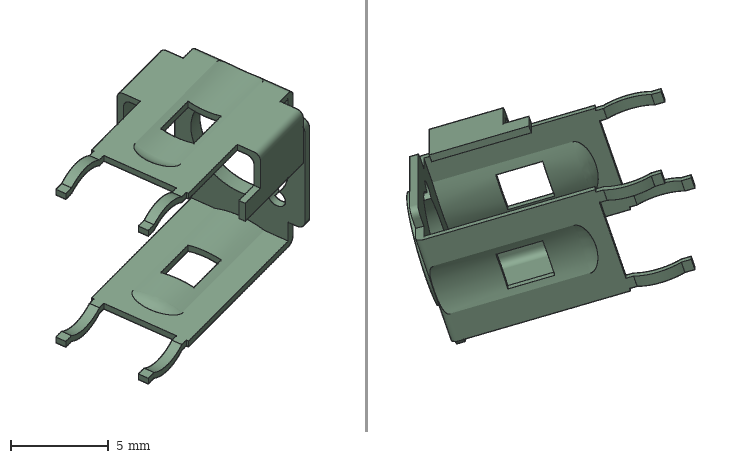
import cadquery as cq
import math

OVERALL_WIDTH = 8.79
OVERALL_DEPTH = 13.51
OVERALL_HEIGHT = 11.36
SHEET = 0.4
BAND_WIDTH = 5.95
BAND_HEIGHT = 10.56
BAND_DEPTH = 9.61
BEND_RADIUS = 0.44

PLATE_THICKNESS = 0.44
PLATE_WIDTH = OVERALL_WIDTH - 2 * SHEET
PLATE_HEIGHT = 7.2
PLATE_CORNER_RADIUS = 0.5
HOLE_DIAMETER = 6.0
COLLAR_DIAMETER = 6.47
COLLAR_HEIGHT = 0.4
NOTCH_DIAMETER = 1.06
NOTCH_OFFSET = 2.27

FINGER_WIDTH = 0.61
FINGER_SPACING = 5.06
FINGER_END = COLLAR_HEIGHT - OVERALL_DEPTH
ARCH_START = -10.02
ARCH_END = -12.58
ARCH_RISE = (OVERALL_HEIGHT - BAND_HEIGHT) / 2

EAR_BACK = -1.18
EAR_FRONT = -5.13
EAR_TAB_FRONT = -6.52
EAR_BOTTOM = 1.75
EAR_TAB_TOP = 2.98
EAR_OUTER_RADIUS = 0.4
EAR_INNER_RADIUS = 0.45

CHANNEL_WIDTH = 2.8
CHANNEL_SAG = 0.25
BUMP_WIDTH = 3.05
BUMP_SAG = 0.26
CHANNEL_STRAIGHT_END = -7.97
CHANNEL_TIP = -8.7
WINDOW_WIDTH = 2.03
WINDOW_BACK = -3.67
WINDOW_FRONT = -6.18

JAW_OUTSIDE = BAND_HEIGHT / 2
JAW_INSIDE = JAW_OUTSIDE - SHEET


def box(x_min, x_max, y_min, y_max, z_min, z_max):
    """Axis-aligned block between the given limits."""
    block = cq.Workplane("XY").box(x_max - x_min, y_max - y_min, z_max - z_min, centered=False)
    return block.translate((x_min, y_min, z_min))


def disc(diameter, y_back, length, x=0, z=0):
    """Cylinder along Y, reaching forward (-Y) from y_back."""
    return cq.Workplane("XZ", origin=(x, y_back, z)).circle(diameter / 2).extrude(length)


def both_jaws(upper):
    """A shape made for the upper jaw, with its mirror image for the lower one."""
    return upper.union(upper.mirror("XY"))


def make_band():
    half_width = BAND_WIDTH / 2
    outer = box(-half_width, half_width, -BAND_DEPTH, 0, -JAW_OUTSIDE, JAW_OUTSIDE)
    outer = outer.edges("|X and >Y").fillet(BEND_RADIUS)
    return outer.cut(box(-half_width, half_width, -BAND_DEPTH, -PLATE_THICKNESS, -JAW_INSIDE, JAW_INSIDE))


def make_back_plate():
    plate = cq.Workplane("XZ").rect(PLATE_WIDTH, PLATE_HEIGHT).extrude(PLATE_THICKNESS)
    plate = plate.edges("|Y").fillet(PLATE_CORNER_RADIUS)
    return plate.union(disc(COLLAR_DIAMETER, COLLAR_HEIGHT, COLLAR_HEIGHT))


def make_hole():
    length = COLLAR_HEIGHT + PLATE_THICKNESS
    hole = disc(HOLE_DIAMETER, COLLAR_HEIGHT, length)
    for side in (-1, 1):
        notch = disc(NOTCH_DIAMETER, COLLAR_HEIGHT, length, side * NOTCH_OFFSET, -side * NOTCH_OFFSET)
        hole = hole.union(notch)
    return hole


def make_upper_fingers():
    arch_middle = (ARCH_START + ARCH_END) / 2
    profile = (
        cq.Workplane("YZ")
        .moveTo(-BAND_DEPTH, JAW_OUTSIDE)
        .lineTo(ARCH_START, JAW_OUTSIDE)
        .threePointArc((arch_middle, JAW_OUTSIDE + ARCH_RISE), (ARCH_END, JAW_OUTSIDE))
        .lineTo(FINGER_END, JAW_OUTSIDE)
        .lineTo(FINGER_END, JAW_INSIDE)
        .lineTo(ARCH_END, JAW_INSIDE)
        .threePointArc((arch_middle, JAW_INSIDE + ARCH_RISE), (ARCH_START, JAW_INSIDE))
        .lineTo(-BAND_DEPTH, JAW_INSIDE)
        .close()
    )
    finger = profile.extrude(FINGER_WIDTH / 2, both=True)
    half_spacing = FINGER_SPACING / 2
    return finger.translate((-half_spacing, 0, 0)).union(finger.translate((half_spacing, 0, 0)))


def make_ears():
    half_outer = OVERALL_WIDTH / 2
    half_inner = half_outer - SHEET
    saddle = box(-half_outer, half_outer, EAR_TAB_FRONT, EAR_BACK, EAR_BOTTOM, JAW_OUTSIDE)
    saddle = saddle.edges("|Y and >Z").fillet(EAR_OUTER_RADIUS)
    inside = box(-half_inner, half_inner, EAR_TAB_FRONT, EAR_BACK, EAR_BOTTOM, JAW_INSIDE)
    inside = inside.edges("|Y and >Z").fillet(EAR_INNER_RADIUS)
    above_tabs = box(-half_outer, half_outer, EAR_TAB_FRONT, EAR_FRONT, EAR_TAB_TOP, JAW_OUTSIDE)
    return saddle.cut(inside).cut(above_tabs)


def make_trough(chord, sag, face_z, y_back):
    """Circular-segment trough hanging from face_z, its end curving up to the channel tip."""
    run = CHANNEL_STRAIGHT_END - CHANNEL_TIP
    end_radius = (run**2 + sag**2) / (2 * sag)
    end_angle = math.degrees(math.asin(run / end_radius))
    axis_height = end_radius - sag

    def segment(y):
        return (
            cq.Workplane("XZ", origin=(0, y, face_z))
            .moveTo(-chord / 2, 0)
            .threePointArc((0, -sag), (chord / 2, 0))
            .close()
        )

    straight = segment(y_back).extrude(y_back - CHANNEL_STRAIGHT_END)
    rounded_end = segment(CHANNEL_STRAIGHT_END).revolve(end_angle, (0, axis_height), (-1, axis_height))
    return straight.union(rounded_end)


def make_window():
    half_width = WINDOW_WIDTH / 2
    return box(-half_width, half_width, WINDOW_FRONT, WINDOW_BACK, 0, JAW_OUTSIDE)


result = make_band().union(make_back_plate()).cut(make_hole())
result = result.union(both_jaws(make_upper_fingers())).union(make_ears())
result = result.union(both_jaws(make_trough(BUMP_WIDTH, BUMP_SAG, JAW_INSIDE, -PLATE_THICKNESS)))
result = result.cut(both_jaws(make_trough(CHANNEL_WIDTH, CHANNEL_SAG, JAW_OUTSIDE, 0)))
result = result.cut(both_jaws(make_window()))